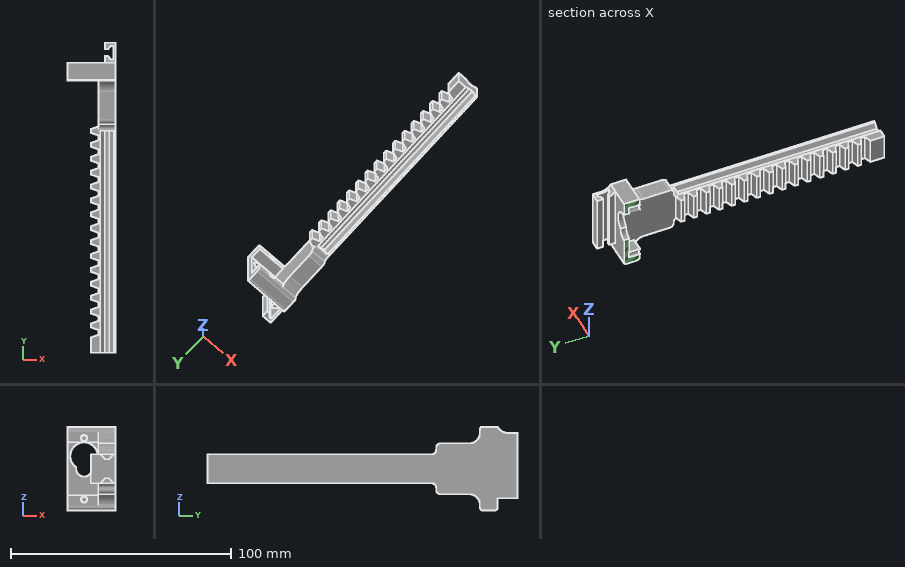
import cadquery as cq
import math

WIDTH = 22.0
LENGTH = 140.9
HEIGHT = 38.0

PLATE_BACK = 131.9
PLATE_THICKNESS = 8.2
PLATE_FRONT = PLATE_BACK - PLATE_THICKNESS
PLATE_FRONT_RADIUS = 1.7
PLATE_TOP_ARC_HEIGHT = 1.8
PLATE_TOP_ARC_DEPTH = 0.4
PLATE_BACK_RADIUS = 1.4
RECESS_HEIGHT = 24.2
RECESS_DEPTH = 5.4
RECESS_FLOOR = PLATE_FRONT + RECESS_DEPTH

HOLE_X = 7.6
KEYHOLE_LARGE_RADIUS = 6.2
KEYHOLE_LARGE_Z = 5.8
KEYHOLE_SMALL_RADIUS = 3.5
KEYHOLE_SMALL_Z = 0.0
SCREW_DIAMETER = 2.5
SCREW_DEPTH = 5.6
SCREW_CHAMFER = 0.21
SCREW_Z = 14.0

SHANK_THICKNESS = 7.9
SHANK_LEFT = WIDTH - SHANK_THICKNESS
SHANK_HEIGHT = 23.2
SHANK_END = 103.8
SHANK_CORNER_RADIUS = 2.1
RACK_ROOT_RADIUS = 2.0
PLATE_ROOT_RADIUS = 4.6

RACK_WIDTH = 11.3
RACK_LEFT = WIDTH - RACK_WIDTH
RACK_HEIGHT = 13.2
TOOTH_DEPTH = RACK_WIDTH - SHANK_THICKNESS
GAP_COUNT = 16
FIRST_GAP_Y = 9.3
LAST_GAP_Y = 104.0
TOOTH_PITCH = (LAST_GAP_Y - FIRST_GAP_Y) / (GAP_COUNT - 1)
GAP_ROOT_WIDTH = 2.1
GAP_MOUTH_WIDTH = 4.5

GROOVE_CENTER_X = 18.0
GROOVE_MOUTH_WIDTH = 5.9
GROOVE_FLOOR_WIDTH = 1.8
GROOVE_DEPTH = 2.3
GROOVE_END = 101.0

HOOK_LEFT = 17.0
HOOK_TOP = 16.3
HOOK_BOTTOM = -13.4
HOOK_ROOT_RADIUS = 5.4
SLOT_CENTER_Y = 136.4
SLOT_MOUTH_WIDTH = 3.0
SLOT_INNER_WIDTH = 6.0
SLOT_LIP_X = 18.5
SLOT_SHOULDER_X = 19.7
SLOT_FLOOR_X = 20.9


def box(x_range, y_range, z_range):
    """Box spanning the given start and end values along each axis."""
    size = [end - start for start, end in (x_range, y_range, z_range)]
    return cq.Workplane("XY").box(*size, centered=False).translate((x_range[0], y_range[0], z_range[0]))


def make_plate():
    """Plate with a shallow open recess across its front face."""
    top = HEIGHT / 2
    front = PLATE_FRONT_RADIUS
    back = PLATE_BACK_RADIUS
    plate = (
        cq.Workplane("YZ")
        .moveTo(PLATE_BACK, top)
        .lineTo(PLATE_BACK, back - top)
        .radiusArc((PLATE_BACK - back, -top), back)
        .lineTo(PLATE_FRONT + front, -top)
        .radiusArc((PLATE_FRONT, front - top), front)
        .lineTo(PLATE_FRONT, top - PLATE_TOP_ARC_HEIGHT)
        .tangentArcPoint((PLATE_FRONT + PLATE_TOP_ARC_DEPTH, top), relative=False)
        .close()
        .extrude(WIDTH)
    )
    recess = box(
        (0, SHANK_LEFT),
        (PLATE_FRONT, RECESS_FLOOR),
        (-RECESS_HEIGHT / 2, RECESS_HEIGHT / 2),
    )
    return plate.cut(recess)


def make_shank():
    """Symmetric shank built from its upper half, with fillets into the rack and the plate."""
    half = SHANK_HEIGHT / 2
    rack_half = RACK_HEIGHT / 2
    shank_foot = SHANK_END - RACK_ROOT_RADIUS
    root_top = half + PLATE_ROOT_RADIUS
    upper = (
        cq.Workplane("YZ", origin=(SHANK_LEFT, 0, 0))
        .moveTo(PLATE_BACK, 0)
        .lineTo(shank_foot, 0)
        .lineTo(shank_foot, rack_half)
        .radiusArc((SHANK_END, rack_half + RACK_ROOT_RADIUS), -RACK_ROOT_RADIUS)
        .lineTo(SHANK_END, half - SHANK_CORNER_RADIUS)
        .radiusArc((SHANK_END + SHANK_CORNER_RADIUS, half), SHANK_CORNER_RADIUS)
        .lineTo(PLATE_FRONT - PLATE_ROOT_RADIUS, half)
        .radiusArc((PLATE_FRONT, root_top), -PLATE_ROOT_RADIUS)
        .lineTo(PLATE_BACK, root_top)
        .close()
        .extrude(SHANK_THICKNESS)
    )
    return upper.union(upper.mirror("XY"))


def make_rack():
    """Bar with evenly spaced tapered gaps between its teeth."""
    rack = box((RACK_LEFT, WIDTH), (0, SHANK_END), (-RACK_HEIGHT / 2, RACK_HEIGHT / 2))
    for index in range(GAP_COUNT):
        center = FIRST_GAP_Y + index * TOOTH_PITCH
        gap = (
            cq.Workplane("XY")
            .polyline([
                (RACK_LEFT, center - GAP_MOUTH_WIDTH / 2),
                (RACK_LEFT + TOOTH_DEPTH, center - GAP_ROOT_WIDTH / 2),
                (RACK_LEFT + TOOTH_DEPTH, center + GAP_ROOT_WIDTH / 2),
                (RACK_LEFT, center + GAP_MOUTH_WIDTH / 2),
            ])
            .close()
            .extrude(RACK_HEIGHT / 2, both=True)
        )
        rack = rack.cut(gap)
    return rack


def make_grooves():
    """Trapezoidal channels in the top and bottom faces of the rack."""
    surface = RACK_HEIGHT / 2
    upper = (
        cq.Workplane("XZ")
        .polyline([
            (GROOVE_CENTER_X - GROOVE_MOUTH_WIDTH / 2, surface),
            (GROOVE_CENTER_X - GROOVE_FLOOR_WIDTH / 2, surface - GROOVE_DEPTH),
            (GROOVE_CENTER_X + GROOVE_FLOOR_WIDTH / 2, surface - GROOVE_DEPTH),
            (GROOVE_CENTER_X + GROOVE_MOUTH_WIDTH / 2, surface),
        ])
        .close()
        .extrude(-GROOVE_END)
    )
    return upper.union(upper.mirror("XY"))


def make_hook():
    """Hook with a keyed slot along Z and a concave arc rising to the plate top."""
    plate_top = HEIGHT / 2
    rise = plate_top - HOOK_TOP
    run = math.sqrt(HOOK_ROOT_RADIUS**2 - (HOOK_ROOT_RADIUS - rise) ** 2)
    arc_start = PLATE_BACK + run
    hook = (
        cq.Workplane("YZ", origin=(HOOK_LEFT, 0, 0))
        .moveTo(PLATE_BACK, HOOK_BOTTOM)
        .lineTo(LENGTH, HOOK_BOTTOM)
        .lineTo(LENGTH, HOOK_TOP)
        .lineTo(arc_start, HOOK_TOP)
        .radiusArc((PLATE_BACK, plate_top), HOOK_ROOT_RADIUS)
        .close()
        .extrude(WIDTH - HOOK_LEFT)
    )
    mouth = SLOT_MOUTH_WIDTH / 2
    inner = SLOT_INNER_WIDTH / 2
    slot = (
        cq.Workplane("XY")
        .polyline([
            (HOOK_LEFT, SLOT_CENTER_Y - mouth),
            (SLOT_LIP_X, SLOT_CENTER_Y - mouth),
            (SLOT_SHOULDER_X, SLOT_CENTER_Y - inner),
            (SLOT_FLOOR_X, SLOT_CENTER_Y - inner),
            (SLOT_FLOOR_X, SLOT_CENTER_Y + inner),
            (SLOT_SHOULDER_X, SLOT_CENTER_Y + inner),
            (SLOT_LIP_X, SLOT_CENTER_Y + mouth),
            (HOOK_LEFT, SLOT_CENTER_Y + mouth),
        ])
        .close()
        .extrude(HEIGHT / 2, both=True)
    )
    return hook.cut(slot)


def plate_hole(z, radius, depth):
    """Round hole cut along +Y from the front face of the plate."""
    return cq.Workplane("XZ", origin=(HOLE_X, PLATE_FRONT, z)).circle(radius).extrude(-depth)


def screw_hole(z):
    """Blind screw hole with a chamfered mouth."""
    radius = SCREW_DIAMETER / 2
    mouth = cq.Solid.makeCone(
        radius + SCREW_CHAMFER,
        radius,
        SCREW_CHAMFER,
        pnt=cq.Vector(HOLE_X, PLATE_FRONT, z),
        dir=cq.Vector(0, 1, 0),
    )
    return plate_hole(z, radius, SCREW_DEPTH).union(cq.Workplane(mouth))


result = make_plate().union(make_shank()).union(make_rack()).union(make_hook())
result = result.cut(make_grooves())
result = result.cut(plate_hole(KEYHOLE_LARGE_Z, KEYHOLE_LARGE_RADIUS, PLATE_THICKNESS))
result = result.cut(plate_hole(KEYHOLE_SMALL_Z, KEYHOLE_SMALL_RADIUS, PLATE_THICKNESS))
for screw_z in (-SCREW_Z, SCREW_Z):
    result = result.cut(screw_hole(screw_z))